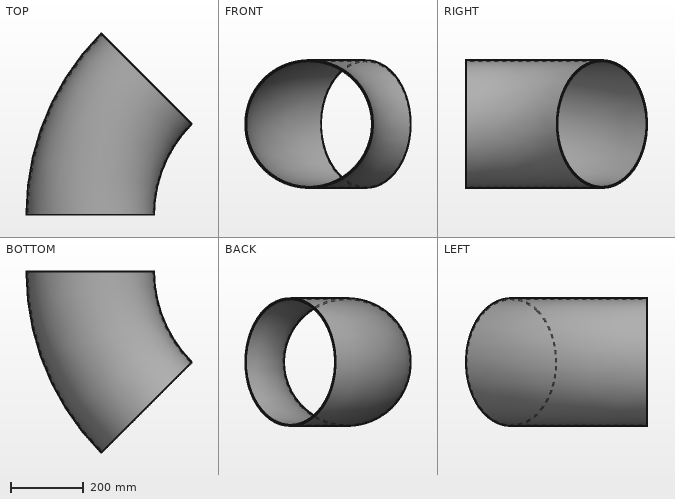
import cadquery as cq

outer_diameter = 355.6
wall_thickness = 4.0
bend_radius = 534.0
bend_angle = 45.0

inner_diameter = outer_diameter - 2 * wall_thickness


def bent_rod(diameter):
    """Solid round bar swept about a vertical axis at X = bend_radius, clockwise seen from above."""
    return (
        cq.Workplane("XZ")
        .circle(diameter / 2)
        .revolve(bend_angle, (bend_radius, 0, 0), (bend_radius, -1, 0))
    )


result = bent_rod(outer_diameter).cut(bent_rod(inner_diameter))